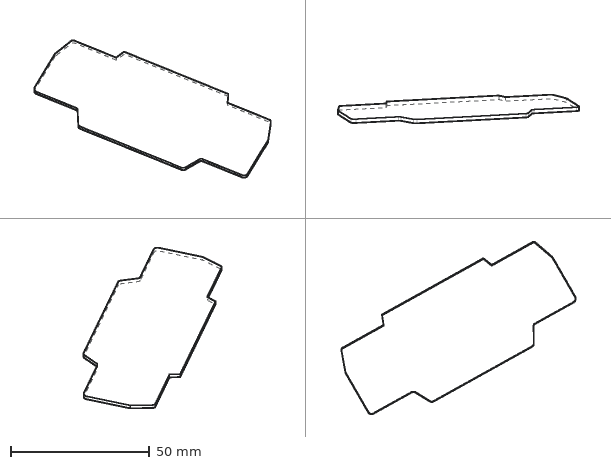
import cadquery as cq

length = 86.0
width = 36.8
thickness = 1.5

top_y = width / 2
bottom_y = -width / 2
upper_shoulder_y = 14.8
taper_start_y = 6.45
lower_shoulder_y = -11.6

half_length = length / 2
upper_arm_half = 40.1
upper_tab_root_half = 22.45
upper_tab_tip_half = 21.1
lower_tab_root_half = 24.9
lower_tab_tip_half = 21.2

upper_arm_radius = 0.9
lower_arm_radius = 1.5
lower_tab_root_radius = 1.0
lower_tab_tip_radius = 1.2

right_side = [
    (upper_tab_tip_half, top_y),
    (upper_tab_root_half, upper_shoulder_y),
    (upper_arm_half, upper_shoulder_y),
    (half_length, taper_start_y),
    (half_length, lower_shoulder_y),
    (lower_tab_root_half, lower_shoulder_y),
    (lower_tab_tip_half, bottom_y),
]
left_side = [(-x, y) for x, y in reversed(right_side)]


def round_corner_pair(plate, half_spacing, y, radius):
    """Round the two mirrored upright edges at x = +/- half_spacing."""
    for x in (-half_spacing, half_spacing):
        corner = cq.selectors.NearestToPointSelector((x, y, 0))
        plate = plate.edges("|Z").edges(corner).fillet(radius)
    return plate


plate = cq.Workplane("XY").polyline(right_side + left_side).close().extrude(thickness / 2, both=True)

plate = round_corner_pair(plate, upper_arm_half, upper_shoulder_y, upper_arm_radius)
plate = round_corner_pair(plate, half_length, lower_shoulder_y, lower_arm_radius)
plate = round_corner_pair(plate, lower_tab_root_half, lower_shoulder_y, lower_tab_root_radius)
plate = round_corner_pair(plate, lower_tab_tip_half, bottom_y, lower_tab_tip_radius)

result = plate